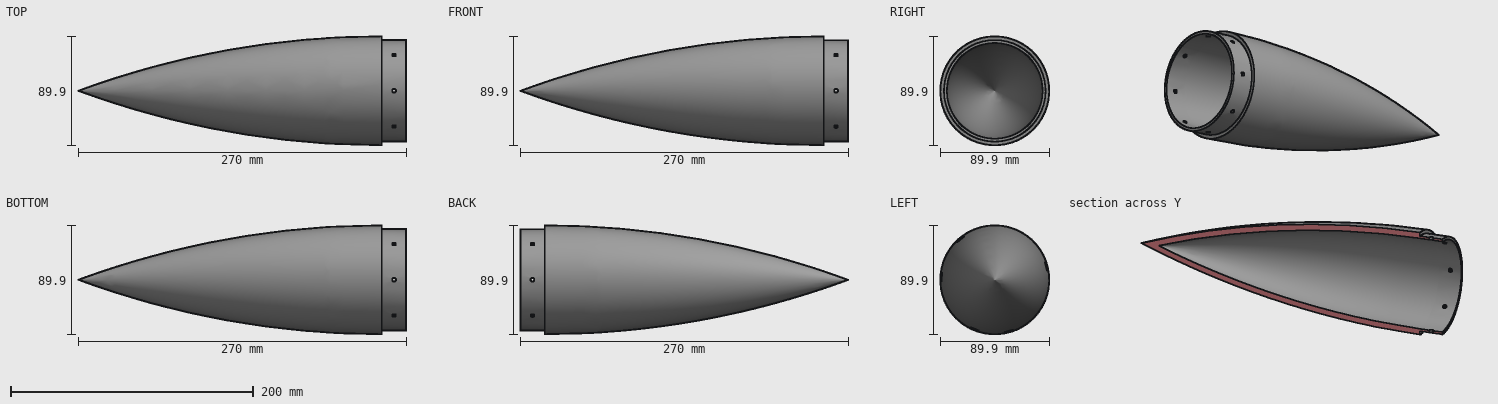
import cadquery as cq
import math

total_length = 270.0
shoulder_length = 20.0
base_radius = 44.95
shoulder_radius = 41.8
wall = 2.5
hole_diameter = 3.0
hole_count = 8

nose_length = total_length - shoulder_length
bore_radius = shoulder_radius - wall
hole_x = total_length - shoulder_length / 2

ogive_radius = (nose_length**2 + base_radius**2) / (2 * base_radius)
arc_center_z = base_radius - ogive_radius


def ogive_height(x, arc_radius):
    """Height of an arc about the ogive centre at station x."""
    return arc_center_z + math.sqrt(arc_radius**2 - (nose_length - x) ** 2)


def revolve_about_axis(profile):
    return profile.close().revolve(360, (0, 0, 0), (1, 0, 0))


def make_body():
    middle_x = nose_length / 2
    profile = (
        cq.Workplane("XZ")
        .threePointArc((middle_x, ogive_height(middle_x, ogive_radius)), (nose_length, base_radius))
        .lineTo(nose_length, shoulder_radius)
        .lineTo(total_length, shoulder_radius)
        .lineTo(total_length, 0)
    )
    return revolve_about_axis(profile)


def make_cavity():
    """Open bore whose front end follows the ogive at a constant wall."""
    inner_arc_radius = bore_radius - arc_center_z
    tip_x = nose_length - math.sqrt(inner_arc_radius**2 - arc_center_z**2)
    middle_x = (tip_x + nose_length) / 2
    profile = (
        cq.Workplane("XZ")
        .moveTo(tip_x, 0)
        .threePointArc((middle_x, ogive_height(middle_x, inner_arc_radius)), (nose_length, bore_radius))
        .lineTo(total_length, bore_radius)
        .lineTo(total_length, 0)
    )
    return revolve_about_axis(profile)


def make_hole(angle):
    """Radial screw hole through one side of the shoulder."""
    hole = cq.Workplane("XY").center(hole_x, 0).circle(hole_diameter / 2).extrude(base_radius)
    return hole.rotate((0, 0, 0), (1, 0, 0), angle)


result = make_body().cut(make_cavity())
for index in range(hole_count):
    result = result.cut(make_hole(index * 360 / hole_count))